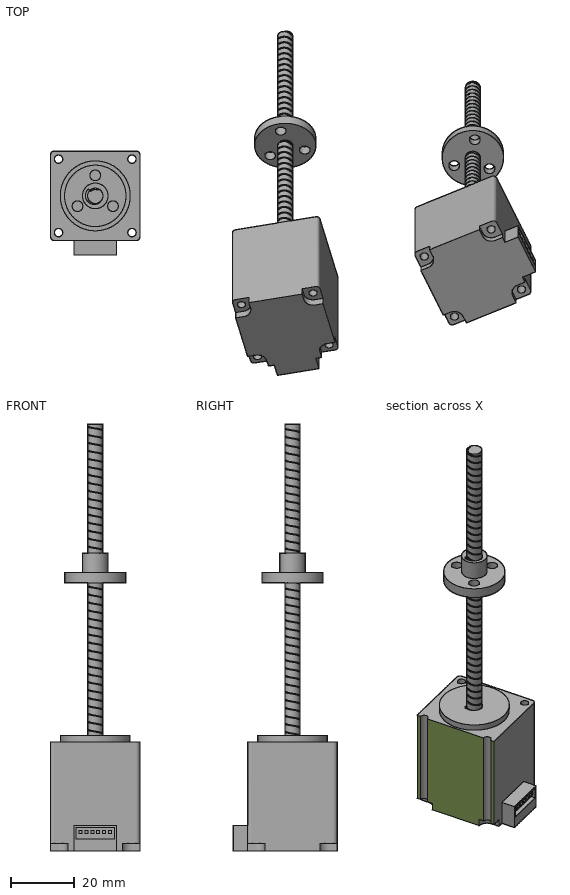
import cadquery as cq
import math

total_height = 134.0

body_width = 28.1
body_height = 34.3
body_corner_radius = 1.2
bolt_spacing = 23.0
bolt_hole_diameter = 2.5
foot_pocket_height = 2.4
foot_pocket_radius = 3.0

boss_diameter = 22.0
boss_height = 2.0

connector_width = 13.4
connector_height = 8.0
connector_depth = 4.5
socket_width = 12.0
socket_height = 3.6
socket_roof = 0.7
socket_depth = 1.5
pin_count = 6
pin_pitch = 1.9
pin_size = 1.0
pin_length = 1.2
pin_drop = 2.1

screw_diameter = 4.8
groove_turns = 39
groove_width = 0.4
groove_root_radius = 2.0
groove_cutter_radius = 3.4
groove_start_angle = 80.0
turns_per_cutter = 13

recess_start_radius = 3.1
recess_middle_radius = 3.0
recess_end_radius = 2.5
recess_start_angle = 135.0
recess_sweep = 170.0
recess_depth = 0.4

nut_bottom = 84.2
flange_diameter = 19.3
flange_thickness = 3.4
hub_diameter = 8.0
hub_height = 6.0
nut_hole_diameter = 3.4
nut_hole_circle_diameter = 12.9
nut_hole_count = 3

boss_top = body_height + boss_height
flange_top = nut_bottom + flange_thickness
nut_top = flange_top + hub_height
screw_length = total_height - boss_top
groove_pitch = screw_length / groove_turns
groove_span = 360 * groove_width / groove_pitch


def cylinder(diameter, bottom, height):
    """Upright cylinder on the screw axis."""
    return cq.Workplane("XY").workplane(offset=bottom).circle(diameter / 2).extrude(height)


def box(width, depth, height):
    """Box centred in X, running from Y = 0 and Z = 0 in the positive directions."""
    return cq.Workplane("XY").box(width, depth, height, centered=(True, False, False))


def on_circle(radius, angle):
    """Point at a given radius and angle (degrees) from the screw axis."""
    return (radius * math.cos(math.radians(angle)), radius * math.sin(math.radians(angle)))


def make_body():
    """Square motor body with a through hole and an underside pocket at each corner."""
    body = box(body_width, body_width, body_height).translate((0, -body_width / 2, 0))
    body = body.edges("|Z").fillet(body_corner_radius)
    pocket = (
        cq.Workplane("XY")
        .center(bolt_spacing / 2, bolt_spacing / 2)
        .rect(2 * foot_pocket_radius, 2 * foot_pocket_radius)
        .extrude(foot_pocket_height)
        .edges("|Z and <X and <Y")
        .fillet(foot_pocket_radius)
    )
    for angle in (0, 90, 180, 270):
        body = body.cut(pocket.rotate((0, 0, 0), (0, 0, 1), angle))
    bolt_holes = (
        cq.Workplane("XY")
        .rect(bolt_spacing, bolt_spacing, forConstruction=True)
        .vertices()
        .circle(bolt_hole_diameter / 2)
        .extrude(body_height)
    )
    return body.cut(bolt_holes)


def make_connector():
    """Connector block with an open socket and a row of square pins."""
    connector = box(connector_width, connector_depth, connector_height)
    socket_bottom = connector_height - socket_roof - socket_height
    connector = connector.cut(box(socket_width, socket_depth, socket_height).translate((0, 0, socket_bottom)))
    pin_bottom = connector_height - pin_drop - pin_size / 2
    for i in range(pin_count):
        pin_x = (i - (pin_count - 1) / 2) * pin_pitch
        pin = box(pin_size, pin_length, pin_size)
        connector = connector.union(pin.translate((pin_x, socket_depth - pin_length, pin_bottom)))
    return connector.translate((0, -body_width / 2 - connector_depth, 0))


def make_nut():
    """Round flange with a ring of through holes and a hub above it."""
    flange = cylinder(flange_diameter, nut_bottom, flange_thickness)
    holes = (
        cq.Workplane("XY")
        .workplane(offset=nut_bottom)
        .polarArray(nut_hole_circle_diameter / 2, 90, 360, nut_hole_count)
        .circle(nut_hole_diameter / 2)
        .extrude(flange_thickness)
    )
    return flange.cut(holes).union(cylinder(hub_diameter, flange_top, hub_height))


def make_screw():
    """Plain rod with a helical groove, cut as stacked lengths of a twisted wedge."""
    half_span = groove_span / 2
    section = [
        on_circle(groove_root_radius, groove_start_angle - half_span / 2),
        on_circle(groove_cutter_radius, groove_start_angle - half_span),
        on_circle(groove_cutter_radius, groove_start_angle + half_span),
        on_circle(groove_root_radius, groove_start_angle + half_span / 2),
    ]
    cutter_length = groove_pitch * turns_per_cutter
    wedge = cq.Workplane("XY").polyline(section).close()
    cutter = wedge.twistExtrude(cutter_length, -360 * turns_per_cutter)
    screw = cylinder(screw_diameter, boss_top - recess_depth, screw_length + recess_depth)
    screw = screw.rotate((0, 0, 0), (0, 0, 1), 180)
    for i in range(groove_turns // turns_per_cutter):
        screw = screw.cut(cutter.translate((0, 0, boss_top + i * cutter_length)))
    return screw


def make_recess(top):
    """Cutter for the shallow spiral recess in a flat top; the screw fills its inner side."""
    start = on_circle(recess_start_radius, recess_start_angle)
    middle = on_circle(recess_middle_radius, recess_start_angle + recess_sweep / 2)
    end = on_circle(recess_end_radius, recess_start_angle + recess_sweep)
    outline = cq.Workplane("XY").workplane(offset=top).moveTo(*start).threePointArc(middle, end).close()
    return outline.extrude(-recess_depth)


motor = make_body().union(cylinder(boss_diameter, body_height, boss_height)).union(make_connector())
motor = motor.cut(make_recess(boss_top))
nut = make_nut().cut(make_recess(nut_top))
result = motor.union(nut).union(make_screw())